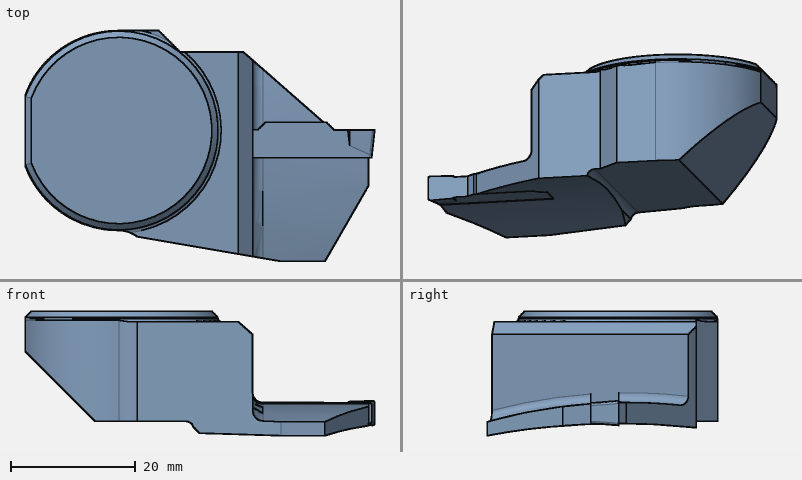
import cadquery as cq
import math


disc_radius = 16.05
cap_radius = 15.95
disc_top = 17.7
overall_height = 20.01
cap_chamfer = 1.0
flat_x = -15.0
bevel_height = 11.2

block_top = 16.0
block_face_x = 21.5
block_chamfer_length = 2.3
block_chamfer_height = 2.05
cap_fillet = 0.5
neck_radius = 5.0

blade_end_x = 40.1
blade_low_y = -21.0
blade_low_z = disc_top - overall_height
blade_top_radius = 83.0
blade_top_apex = 3.04
blade_top_crown_y = 1.5
blade_root_fillet = 1.6
ramp_start_x = 10.75
ramp_radius = 1.3
ramp_arc_angle = math.radians(75)

ear_corner_x = 6.4
side_y = 12.6
diagonal_start_x = 20.0
diagonal_end_x = 32.85
flank_start_x = 3.0
flank_start_y = -disc_radius - neck_radius + math.sqrt(neck_radius**2 - flank_start_x**2)
flank_end_x = 26.0
tip_bevel_start_x = 33.1
tip_bevel_end_y = -8.85

insert_base_y = -4.4
rake_y = 0.1
insert_crest_y = 1.35
crest_start_x = 23.6
crest_end_x = 33.3
crest_slope_length = 1.3
insert_tip_x = 41.1
tip_clearance = 0.5
insert_mid_z = 1.33
shank_half_width = 1.67
head_half_width = 2.0
head_start_x = 36.75
tip_edge_radius = 0.4

relief_start = (37.05, -2.4)
relief_end = (40.4, -3.9)

blade_bottom_apex = insert_mid_z - shank_half_width
blade_low_drop = blade_bottom_apex - blade_low_z
blade_bottom_radius = (blade_low_y**2 + blade_low_drop**2) / (2 * blade_low_drop)

margin = 5.0
trim_half_width = margin - blade_low_y


def arc_height(apex, radius, offset):
    """Height of an arc at a sideways offset from its crown."""
    return apex - radius + math.sqrt(radius**2 - offset**2)


def make_disc():
    """Coupling disc with chamfered cap and a fillet skirt that blends into the block top."""
    skirt_radius = cap_radius + cap_fillet
    fillet_mid = cap_fillet * (1 - math.sqrt(0.5))
    return (
        cq.Workplane("XZ")
        .moveTo(0, 0)
        .lineTo(skirt_radius, 0)
        .lineTo(skirt_radius, block_top)
        .threePointArc(
            (cap_radius + fillet_mid, block_top + fillet_mid),
            (cap_radius, block_top + cap_fillet),
        )
        .lineTo(cap_radius, disc_top - cap_chamfer)
        .lineTo(cap_radius - cap_chamfer, disc_top)
        .lineTo(0, disc_top)
        .close()
        .revolve(360, (0, 0, 0), (0, 1, 0))
    )


def make_blank():
    """Block and blade blank, wider than the part, with a rounded ramp below the blade root."""
    arc_mid = (
        ramp_start_x + ramp_radius * math.sin(ramp_arc_angle / 2),
        -ramp_radius * (1 - math.cos(ramp_arc_angle / 2)),
    )
    arc_end = (
        ramp_start_x + ramp_radius * math.sin(ramp_arc_angle),
        -ramp_radius * (1 - math.cos(ramp_arc_angle)),
    )
    ramp_foot = (arc_end[0] + margin, arc_end[1] - margin)
    blank_end_x = blade_end_x + margin
    chamfer_foot_z = block_top - block_chamfer_height
    return (
        cq.Workplane("XZ")
        .moveTo(0, 0)
        .lineTo(ramp_start_x, 0)
        .threePointArc(arc_mid, arc_end)
        .lineTo(*ramp_foot)
        .lineTo(blank_end_x, ramp_foot[1])
        .lineTo(blank_end_x, chamfer_foot_z)
        .lineTo(block_face_x, chamfer_foot_z)
        .lineTo(block_face_x - block_chamfer_length, block_top)
        .lineTo(0, block_top)
        .close()
        .extrude(trim_half_width, both=True)
    )


def make_underside_limit():
    """Region above the curved underside of the blade; it holds all of the block too."""
    edge_z = arc_height(blade_bottom_apex, blade_bottom_radius, trim_half_width)
    return (
        cq.Workplane("YZ")
        .moveTo(-trim_half_width, edge_z)
        .threePointArc((0, blade_bottom_apex), (trim_half_width, edge_z))
        .lineTo(trim_half_width, block_top)
        .lineTo(-trim_half_width, block_top)
        .close()
        .extrude(blade_end_x + margin)
    )


def make_blade_clearance():
    """Space over the curved blade top, rounded where it meets the block face."""
    near_z = arc_height(blade_top_apex, blade_top_radius, trim_half_width + blade_top_crown_y)
    far_z = arc_height(blade_top_apex, blade_top_radius, trim_half_width - blade_top_crown_y)
    root_edge = cq.selectors.NearestToPointSelector((block_face_x, blade_top_crown_y, blade_top_apex))
    return (
        cq.Workplane("YZ")
        .workplane(offset=block_face_x)
        .moveTo(trim_half_width, far_z)
        .threePointArc((blade_top_crown_y, blade_top_apex), (-trim_half_width, near_z))
        .lineTo(-trim_half_width, disc_top)
        .lineTo(trim_half_width, disc_top)
        .close()
        .extrude(blade_end_x)
        .edges(root_edge)
        .fillet(blade_root_fillet)
    )


def make_plan_outline():
    """Prism with the outline of the holder seen along Z."""
    flat_y = math.sqrt(disc_radius**2 - flat_x**2)
    half_root = disc_radius * math.sqrt(0.5)
    diagonal_slope = (side_y - insert_crest_y) / (diagonal_end_x - diagonal_start_x)
    diagonal_foot_x = diagonal_start_x + (side_y - rake_y) / diagonal_slope
    neck_angle = math.asin(flank_start_x / neck_radius) / 2
    neck_mid = (
        neck_radius * math.sin(neck_angle),
        -disc_radius - neck_radius * (1 - math.cos(neck_angle)),
    )
    return (
        cq.Workplane("XY")
        .workplane(offset=-margin)
        .moveTo(0, disc_radius)
        .lineTo(ear_corner_x, disc_radius)
        .lineTo(ear_corner_x + disc_radius - side_y, side_y)
        .lineTo(diagonal_start_x, side_y)
        .lineTo(diagonal_foot_x, rake_y)
        .lineTo(blade_end_x, rake_y)
        .lineTo(blade_end_x, tip_bevel_end_y)
        .lineTo(tip_bevel_start_x, blade_low_y)
        .lineTo(flank_end_x, blade_low_y)
        .lineTo(flank_start_x, flank_start_y)
        .threePointArc(neck_mid, (0, -disc_radius))
        .threePointArc((-half_root, -half_root), (flat_x, -flat_y))
        .lineTo(flat_x, flat_y)
        .threePointArc((-half_root, half_root), (0, disc_radius))
        .close()
        .extrude(disc_top + 2 * margin)
    )


def make_side_outline():
    """Prism that gives the flat its chamfer and bevels the disc from below."""
    low = -margin
    return (
        cq.Workplane("XZ")
        .moveTo(flat_x, bevel_height)
        .lineTo(flat_x, disc_top - cap_chamfer)
        .lineTo(flat_x + cap_chamfer, disc_top)
        .lineTo(blade_end_x, disc_top)
        .lineTo(blade_end_x, low)
        .lineTo(flat_x + bevel_height - low, low)
        .close()
        .extrude(trim_half_width, both=True)
    )


def insert_prism(bottom, top):
    """Prism over the plan outline of the insert."""
    return (
        cq.Workplane("XY")
        .workplane(offset=bottom)
        .polyline(
            [
                (block_face_x, insert_base_y),
                (insert_tip_x - tip_clearance, insert_base_y),
                (insert_tip_x, rake_y),
                (crest_end_x + crest_slope_length, rake_y),
                (crest_end_x, insert_crest_y),
                (crest_start_x, insert_crest_y),
                (crest_start_x - crest_slope_length, rake_y),
                (block_face_x, rake_y),
            ]
        )
        .close()
        .extrude(top - bottom)
    )


def make_holder():
    """Holder in one piece, with an open slot through the blade for the insert."""
    body = make_blank().intersect(make_underside_limit()).cut(make_blade_clearance())
    body = body.union(make_disc()).intersect(make_plan_outline()).intersect(make_side_outline())
    return body.cut(insert_prism(-margin, block_top))


def space_above(foot_start, foot_end, slope):
    """Space above a plane that rises leftward from a foot line on the upper shank face."""
    along_x = foot_end[0] - foot_start[0]
    along_y = foot_end[1] - foot_start[1]
    length = math.hypot(along_x, along_y)
    plane = cq.Plane(
        origin=(*foot_start, insert_mid_z + shank_half_width),
        xDir=(along_x, along_y, 0),
        normal=(slope * along_y / length, -slope * along_x / length, 1),
    )
    size = 4 * (insert_tip_x - head_start_x)
    return cq.Workplane(plane).rect(size, size).extrude(margin)


def distance_left(foot_start, foot_end, point):
    """Distance of a plan point to the left of a foot line."""
    along_x = foot_end[0] - foot_start[0]
    along_y = foot_end[1] - foot_start[1]
    across = along_x * (point[1] - foot_start[1]) - along_y * (point[0] - foot_start[0])
    return across / math.hypot(along_x, along_y)


def round_tip(body):
    """Round the upper and lower edges of the front face."""
    corner_x = insert_tip_x - tip_clearance / 2
    corner_y = (insert_base_y + rake_y) / 2
    for corner_z in (insert_mid_z + head_half_width, insert_mid_z - head_half_width):
        corner_edge = cq.selectors.NearestToPointSelector((corner_x, corner_y, corner_z))
        body = body.edges(corner_edge).fillet(tip_edge_radius)
    return body


def make_insert():
    """Insert with a straight shank and a wider head, relieved alike above and below."""
    shank = insert_prism(insert_mid_z - shank_half_width, insert_mid_z + shank_half_width)
    head_region = (
        cq.Workplane("XY")
        .box(
            insert_tip_x - head_start_x,
            rake_y - insert_base_y,
            2 * head_half_width,
            centered=False,
        )
        .translate((head_start_x, insert_base_y, insert_mid_z - head_half_width))
    )
    head = insert_prism(insert_mid_z - head_half_width, insert_mid_z + head_half_width)
    head = head.intersect(head_region)

    head_rise = head_half_width - shank_half_width
    relief_slope = head_rise / distance_left(relief_start, relief_end, (insert_tip_x, rake_y))
    ramp_start = (head_start_x, rake_y)
    ramp_top = (relief_start[0], rake_y)
    ramp_rise = relief_slope * distance_left(relief_start, relief_end, ramp_top)
    ramp_slope = ramp_rise / distance_left(ramp_start, relief_start, ramp_top)
    for space in (
        space_above(relief_start, relief_end, relief_slope),
        space_above(ramp_start, relief_start, ramp_slope),
    ):
        head = head.cut(space).cut(space.mirror("XY", (0, 0, insert_mid_z)))

    return round_tip(shank).union(round_tip(head))


holder = make_holder()
insert = make_insert()
result = cq.Compound.makeCompound([holder.solids().val(), insert.solids().val()])